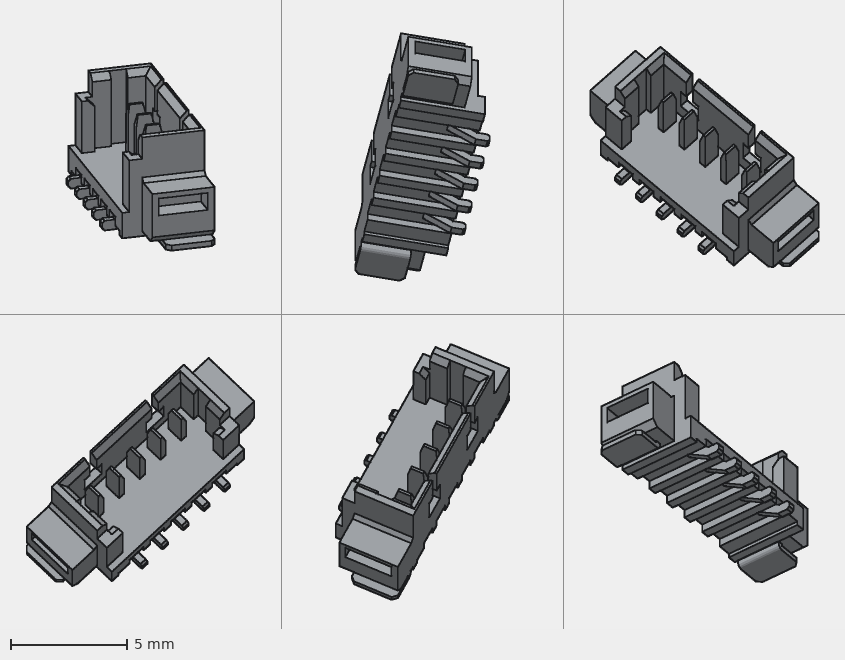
import cadquery as cq
import math


pin_count = 5
pin_pitch = 1.25
pin_width = 0.32
pin_rear, pin_front = 0.72, 1.52
pin_shoulder = 3.06
pin_top = 3.55
pin_taper = 0.10
overlap = 0.1

lead_front = 4.2
lead_height = 0.46
lead_tip_chamfer = 0.11
lead_bend_bottom = 3.58
lead_bend_top = 3.63
lead_rise_angle = 30

half_length = 4.0
height = 4.7
shell_depth = 2.8
base_depth = 3.7
floor_bottom = 0.7
floor_top = 1.3
rear_wall = 0.4
side_wall = 0.32
pad_thickness = 0.27
recess_face = half_length - side_wall
inner_half_length = recess_face - pad_thickness
lead_in_height = 0.31
rear_lead_in = 0.3
recess_rear, recess_front = 1.2, 1.95

slot_offset = 1.87
slot_width = 0.4
window_width = 1.05
window_bottom = 2.1
window_top = 3.27

column_inner = 3.03
column_front = 3.39
column_top = 3.7
column_bevel = 0.31

rib_bottom = 0.3
lead_notch_width = 0.84
foot_bottom = 0.11
foot_width = 0.42

wing_end = 5.5
wing_bottom = 0.34
wing_top = 2.65
wing_bevel = 0.3
wing_root_bevel = 0.19
wing_slot_rear, wing_slot_front = 0.31, 2.51
wing_slot_bottom, wing_slot_top = 1.62, 2.41

nail_end = 5.7
nail_width = 2.2
nail_thickness = 0.25
nail_corner = 0.2
nail_inner = 4.21
nail_bend_radius = 0.28
nail_outer = nail_inner + nail_bend_radius


def block(x0, x1, depth0, depth1, z0, z1):
    """Box between two X values, two depths from the rear face and two heights."""
    size = (x1 - x0, depth1 - depth0, z1 - z0)
    return cq.Workplane("XY").box(*size, centered=False).translate((x0, -depth1, z0))


def prism_along_y(outline, depth0, depth1):
    """Extrude an XZ outline between two depths."""
    return cq.Workplane("XZ", origin=(0, -depth0, 0)).polyline(outline).close().extrude(depth1 - depth0)


def prism_along_x(outline, x0, x1):
    """Extrude a (depth, Z) outline between two X values."""
    points = [(-depth, z) for depth, z in outline]
    return cq.Workplane("YZ", origin=(x0, 0, 0)).polyline(points).close().extrude(x1 - x0)


def both_ends(half):
    """Join a feature of the +X end with its mirror image at the -X end."""
    return half.union(half.mirror("YZ"))


def pin_positions():
    return [(i - (pin_count - 1) / 2) * pin_pitch for i in range(pin_count)]


def make_base():
    """Floor with ribs and end feet below it, notched through at each lead."""
    base = block(-half_length, half_length, 0, base_depth, rib_bottom, floor_top)
    for x in pin_positions():
        base = base.cut(block(x - lead_notch_width / 2, x + lead_notch_width / 2,
                              0, base_depth, rib_bottom, floor_bottom))
    foot = block(half_length - foot_width, half_length, 0, base_depth, foot_bottom, floor_top)
    return base.union(both_ends(foot))


def make_rear_wall():
    """Rear wall with a sloped lead-in, and a slot opening into each window."""
    wall = prism_along_x([(0, floor_bottom), (rear_wall, floor_bottom),
                          (rear_wall, height - lead_in_height),
                          (rear_wall - rear_lead_in, height), (0, height)],
                         -half_length, half_length)
    for x in (-slot_offset, slot_offset):
        wall = wall.cut(block(x - slot_width / 2, x + slot_width / 2,
                              0, rear_wall, window_bottom, height))
        wall = wall.cut(block(x - window_width / 2, x + window_width / 2,
                              0, rear_wall, window_bottom, window_top))
    return wall


def make_side_wall():
    """+X side wall with a lead-in and a vertical recess down its inner face."""
    wall = prism_along_y([(half_length, floor_bottom), (half_length, height), (recess_face, height),
                          (inner_half_length, height - lead_in_height),
                          (inner_half_length, floor_bottom)],
                         0, shell_depth)
    recess = block(inner_half_length, recess_face, recess_rear, recess_front, floor_top, height)
    return wall.cut(recess)


def make_column():
    """+X front column, its inward lip bevelled down toward the cavity."""
    post = block(inner_half_length, half_length, shell_depth, column_front, floor_bottom, column_top)
    lip = prism_along_x([(shell_depth, floor_bottom), (column_front, floor_bottom),
                         (column_front, column_top), (shell_depth + column_bevel, column_top),
                         (shell_depth, column_top - column_bevel)],
                        column_inner, inner_half_length)
    return post.union(lip)


def make_wing():
    """+X wing with bevelled edges and a rectangular slot reaching in to the nail."""
    wing = prism_along_y([(recess_face, wing_bottom), (wing_end - wing_bevel, wing_bottom),
                          (wing_end, wing_bottom + wing_bevel), (wing_end, wing_top),
                          (half_length + wing_root_bevel, wing_top),
                          (half_length, wing_top + wing_root_bevel),
                          (recess_face, wing_top + wing_root_bevel)],
                         0, shell_depth)
    return wing.cut(block(nail_outer, wing_end, wing_slot_rear, wing_slot_front,
                          wing_slot_bottom, wing_slot_top))


def make_nail():
    """+X solder nail: a flat foot with clipped corners, bent up into the wing."""
    bend_middle = nail_bend_radius * math.sqrt(0.5)
    strip = (cq.Workplane("XZ")
             .moveTo(nail_end, 0)
             .lineTo(nail_outer, 0)
             .threePointArc((nail_outer - bend_middle, nail_bend_radius - bend_middle),
                            (nail_inner, nail_bend_radius))
             .lineTo(nail_inner, wing_bottom + overlap)
             .lineTo(nail_outer, wing_bottom + overlap)
             .lineTo(nail_outer, nail_thickness)
             .lineTo(nail_end, nail_thickness)
             .close()
             .extrude(nail_width))
    return strip.edges("|Z and >X").chamfer(nail_corner)


def make_pin(x):
    """Upright contact at X = x, tapered on all four sides to a blunt tip."""
    length = pin_front - pin_rear
    shank = block(x - pin_width / 2, x + pin_width / 2, pin_rear, pin_front, floor_bottom, pin_shoulder)
    tip = (cq.Workplane("XY", origin=(x, -(pin_rear + pin_front) / 2, pin_shoulder))
           .rect(pin_width, length)
           .workplane(offset=pin_top - pin_shoulder)
           .rect(pin_width - 2 * pin_taper, length - 2 * pin_taper)
           .loft(ruled=True))
    return shank.union(tip)


def make_lead(x):
    """Solder lead at X = x, sloping up from its flat foot into the floor."""
    leg_top = floor_bottom + overlap
    slope = math.tan(math.radians(lead_rise_angle))
    tip = lead_front - lead_tip_chamfer
    outline = [(lead_bend_bottom, 0), (tip, 0), (lead_front, lead_tip_chamfer),
               (lead_front, lead_height - lead_tip_chamfer), (tip, lead_height),
               (lead_bend_top, lead_height),
               (lead_bend_top - (leg_top - lead_height) / slope, leg_top),
               (lead_bend_bottom - leg_top / slope, leg_top)]
    return prism_along_x(outline, x - pin_width / 2, x + pin_width / 2)


result = make_base().union(make_rear_wall())
for make_end_feature in (make_side_wall, make_column, make_wing, make_nail):
    result = result.union(both_ends(make_end_feature()))
for pin_x in pin_positions():
    result = result.union(make_pin(pin_x)).union(make_lead(pin_x))